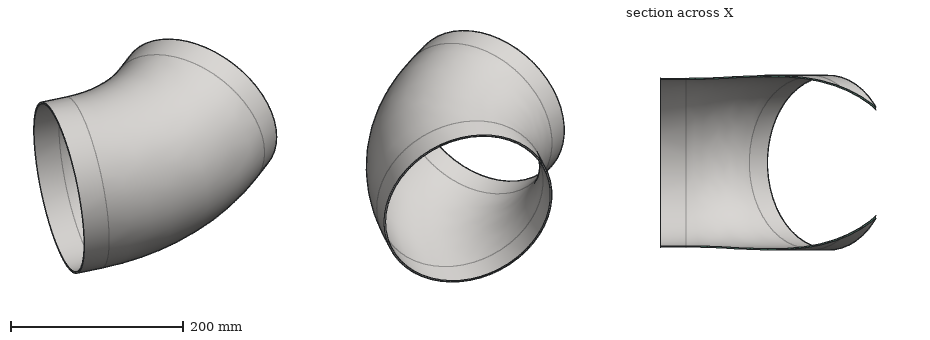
import cadquery as cq
import math

outer_diameter = 203.2
wall = 2.0
bend_radius = outer_diameter
bend_angle = 45.0
collar_length = 30.0

outer_radius = outer_diameter / 2
inner_radius = outer_radius - wall
angle = math.radians(bend_angle)

inlet_start = cq.Vector(0, 0, 0)
inlet_direction = cq.Vector(0, 1, 0)
outlet_direction = cq.Vector(-math.sin(angle), math.cos(angle), 0)
bend_start = inlet_start + inlet_direction * collar_length
bend_end = bend_start + cq.Vector(
    -bend_radius * (1 - math.cos(angle)),
    bend_radius * math.sin(angle),
    0,
)


def pipe_section(center, direction):
    """Annular section facing along direction; local x points away from the bend centre, local y along -Z."""
    outward = direction.cross(cq.Vector(0, 0, 1))
    plane = cq.Plane(origin=center, xDir=outward, normal=direction)
    return cq.Workplane(plane).circle(outer_radius).circle(inner_radius)


def collar(start, direction):
    """Straight length of pipe."""
    return pipe_section(start, direction).extrude(collar_length)


def bend():
    """Pipe section revolved about the vertical axis through the bend centre."""
    axis_start = (-bend_radius, 0)
    axis_end = (-bend_radius, -1)
    return pipe_section(bend_start, inlet_direction).revolve(bend_angle, axis_start, axis_end)


inlet_collar = collar(inlet_start, inlet_direction)
outlet_collar = collar(bend_end, outlet_direction)

result = inlet_collar.union(bend()).union(outlet_collar)